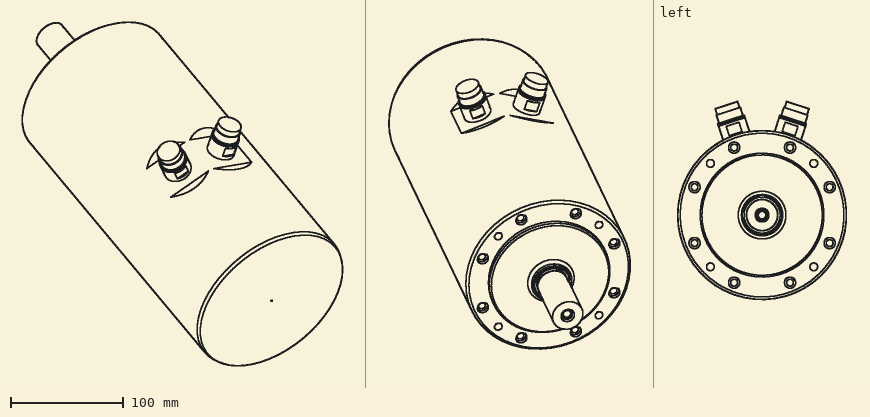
import cadquery as cq
import math


housing_dia = 150.0
housing_front = 74.5
housing_rear = 381.5
front_chamfer = 2.3
rear_chamfer_length = 3.5
rear_chamfer_depth = 1.0
centre_pip_dia = 1.0
overall_length = 382.0

pilot_dia = 110.0
pilot_chamfer = 1.5
pilot_front = 69.0
cone_tip = 65.7

hub_base_dia = 42.5
hub_dia = 36.5
hub_step = 62.5
hub_front_dia = 35.0
hub_front = 60.5
seal_recess_dia = 32.0
seal_recess_depth = 2.0
shaft_dia = 28.0
shaft_length = 58.0
shaft_neck_dia = 27.5

tip_hole_dia = 7.0
tip_hole_depth = 19.0
tip_bore_dia = 9.0
tip_bore_depth = 3.0
tip_countersink_dia = 12.2

bolt_circle_dia = 130.0
screw_hole_dia = 6.0
screw_hole_depth = 15.3
screw_bore_dia = 10.0
screw_bore_depth = 4.0
screw_hole_count = 8
screw_start_angle = 22.5
dowel_hole_dia = 7.0
dowel_hole_depth = 11.5
dowel_hole_count = 4
dowel_start_angle = 45.0
drill_tip_angle = 118.0

seat_tilt = 18.0
seat_x = 257.0
seat_radius = 72.2
seat_length = 41.3
seat_ramp_angle = 18.0
seat_cutter_clearance = 4.0

connector_height = 30.5
connector_body_dia = 25.0
connector_body_height = 15.0
groove_height = 1.0
collar_height = 1.0
sleeve_dia = 22.5
cap_dia = 21.0
cap_height = 5.7
wrench_flat_width = 21.8
wrench_flat_bottom = 4.0
wrench_flat_height = 8.8


def drilled_hole(x, y, z, diameter, depth):
    """Blind hole along +X that ends in a drill point."""
    radius = diameter / 2
    point = radius / math.tan(math.radians(drill_tip_angle / 2))
    profile = [(0, 0), (0, radius), (depth, radius), (depth + point, 0)]
    hole = cq.Workplane("XY").polyline(profile).close().revolve(360, (0, 0), (1, 0))
    return hole.translate((x, y, z))


def bolt_positions(count, start_angle):
    """Evenly spaced (y, z) places on the flange bolt circle."""
    angles = [math.radians(start_angle + i * 360 / count) for i in range(count)]
    radius = bolt_circle_dia / 2
    return [(radius * math.cos(a), radius * math.sin(a)) for a in angles]


def tilted(body, side):
    """Move a body from the local seat frame to its place above (+Z) the motor axis."""
    return body.translate((seat_x, 0, 0)).rotate((0, 0, 0), (1, 0, 0), side * seat_tilt)


def turned_motor():
    """Housing, pilot and shaft as one turned shape."""
    housing_r = housing_dia / 2
    pilot_r = pilot_dia / 2
    pip_r = centre_pip_dia / 2
    profile = [
        (0, 0),
        (0, shaft_dia / 2),
        (shaft_length, shaft_dia / 2),
        (shaft_length, shaft_neck_dia / 2),
        (hub_front + seal_recess_depth, shaft_neck_dia / 2),
        (hub_front + seal_recess_depth, seal_recess_dia / 2),
        (hub_front, seal_recess_dia / 2),
        (hub_front, hub_front_dia / 2),
        (hub_step, hub_dia / 2),
        (cone_tip, hub_base_dia / 2),
        (pilot_front, pilot_r - pilot_chamfer),
        (pilot_front + pilot_chamfer, pilot_r),
        (housing_front, pilot_r),
        (housing_front, housing_r - front_chamfer),
        (housing_front + front_chamfer, housing_r),
        (housing_rear - rear_chamfer_length, housing_r),
        (housing_rear, housing_r - rear_chamfer_depth),
        (housing_rear, pip_r),
        (overall_length, pip_r),
        (overall_length, 0),
    ]
    return cq.Workplane("XY").polyline(profile).close().revolve(360, (0, 0), (1, 0))


def tip_hole():
    """Countersunk two-step hole in the end of the shaft."""
    mouth_r = tip_countersink_dia / 2
    bore_r = tip_bore_dia / 2
    countersink_depth = mouth_r - bore_r
    profile = [
        (0, 0),
        (0, mouth_r),
        (countersink_depth, bore_r),
        (tip_bore_depth, bore_r),
        (tip_bore_depth, 0),
    ]
    bore = cq.Workplane("XY").polyline(profile).close().revolve(360, (0, 0), (1, 0))
    return drilled_hole(0, 0, 0, tip_hole_dia, tip_hole_depth).union(bore)


def screw_hole(y, z):
    """Counterbored screw hole in the flange."""
    hole = cq.Workplane("YZ").circle(screw_hole_dia / 2).extrude(screw_hole_depth)
    bore = cq.Workplane("YZ").circle(screw_bore_dia / 2).extrude(screw_bore_depth)
    return hole.union(bore).translate((housing_front, y, z))


def seat_cutter():
    """Prism that mills one flat seat with a ramp at each end."""
    half_floor = seat_length / 2
    rise = housing_dia / 2 - seat_radius + seat_cutter_clearance
    half_top = half_floor + rise / math.tan(math.radians(seat_ramp_angle))
    profile = [
        (-half_floor, seat_radius),
        (half_floor, seat_radius),
        (half_top, seat_radius + rise),
        (-half_top, seat_radius + rise),
    ]
    return cq.Workplane("XZ").polyline(profile).close().extrude(housing_dia / 2, both=True)


def make_motor():
    motor = turned_motor().cut(tip_hole())
    for y, z in bolt_positions(screw_hole_count, screw_start_angle):
        motor = motor.cut(screw_hole(y, z))
    for y, z in bolt_positions(dowel_hole_count, dowel_start_angle):
        motor = motor.cut(drilled_hole(housing_front, y, z, dowel_hole_dia, dowel_hole_depth))
    for side in (-1, 1):
        motor = motor.cut(tilted(seat_cutter(), side))
    return motor


def make_connector(side):
    """Round plug connector that stands on its seat, with two wrench flats."""
    body_r = connector_body_dia / 2
    sleeve_r = sleeve_dia / 2
    cap_r = cap_dia / 2
    groove_top = connector_body_height + groove_height
    collar_top = groove_top + collar_height
    cap_bottom = connector_height - cap_height
    profile = [
        (0, 0),
        (body_r, 0),
        (body_r, connector_body_height),
        (sleeve_r, connector_body_height),
        (sleeve_r, groove_top),
        (body_r, groove_top),
        (body_r, collar_top),
        (sleeve_r, collar_top),
        (sleeve_r, cap_bottom),
        (cap_r, cap_bottom),
        (cap_r, connector_height),
        (0, connector_height),
    ]
    connector = cq.Workplane("XZ").polyline(profile).close().revolve(360, (0, 0), (0, 1))
    for end in (-1, 1):
        notch = cq.Workplane("XY").box(
            connector_body_dia, connector_body_dia, wrench_flat_height, centered=(True, True, False)
        )
        notch_x = end * (wrench_flat_width + connector_body_dia) / 2
        connector = connector.cut(notch.translate((notch_x, 0, wrench_flat_bottom)))
    return tilted(connector.translate((0, 0, seat_radius)), side)


motor = make_motor()
connectors = [make_connector(side) for side in (-1, 1)]

result = cq.Compound.makeCompound([motor.val(), *[connector.val() for connector in connectors]])